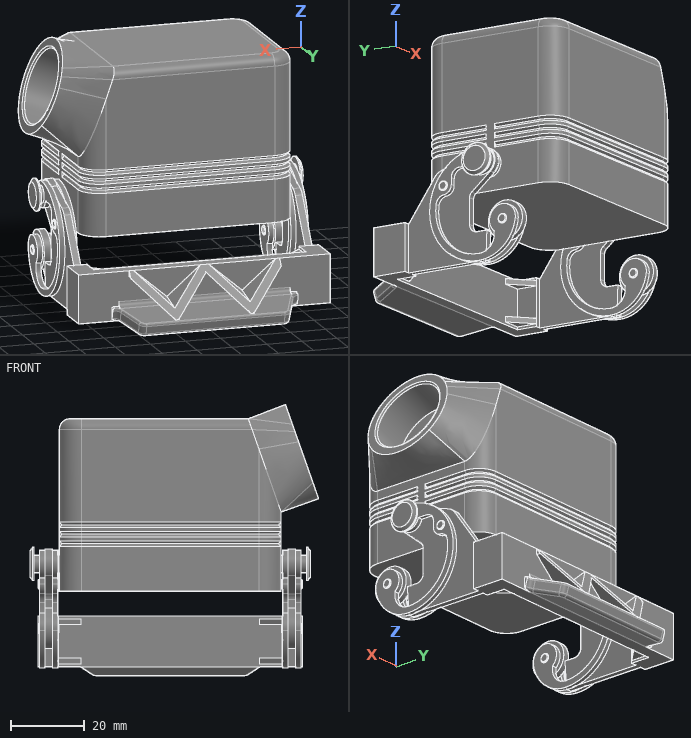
import cadquery as cq
import math


overall_length = 78.4

hood_length = 60.2
hood_width = 43.1
hood_height = 46.9
corner_radius = 6.0
top_radius = 3.0
wall_x = hood_length / 2

groove_levels = (12.9, 15.5, 18.0)
groove_half = 0.745
groove_gap = 2.75

entry_tilt = 19.4
entry_base_z = 34.3
entry_length = 10.8
entry_radius = 13.55
bore_radius = 10.65
bore_chamfer = 0.5

arm_x = 33.0
arm_thickness = 5.0
frame_thickness = 2.0

pivot_z = 7.45
pin_radius = 2.4
pin_embed = 0.8
plate_eye_radius = 3.8
frame_eye_radius = 4.1
head_radius = 4.55
head_face_radius = 3.5
head_outer_x = 38.1
head_thickness = 1.2
head_cone = 0.8

sweep_radius = 16.0
sweep_z = pivot_z + plate_eye_radius - sweep_radius
sweep_inner_radius = 14.0
hook_inner_radius = 4.8
roller_y = -7.45
roller_z = -10.0
roller_radius = 5.5
hook_eye_radius = 4.15
rivet_radius = 1.3
rivet_height = 0.3
rivet_chamfer = 0.2
boss_y = 11.6
boss_z = 1.95
boss_radius = 2.6
boss_fillet_rise = 1.8
window_top_z = 6.4

jaw_y = 4.1
jaw_bottom_z = -12.1
jaw_radius = 2.35
jaw_heel_radius = 1.9
jaw_slope = 40.0
toe_y = -1.2
toe_tip_y = -1.5
shoulder_y = 14.5
shoulder_z = 6.35
shoulder_radius = 3.9

bridge_half = 35.9
bridge_front_y = 23.7
bridge_back_y = 33.8
bridge_bottom_z = -20.45
bridge_top_z = -6.7
bar_front_y = 29.7
leg_inner_x = 30.25
gusset_size = bar_front_y - bridge_front_y
gusset_thickness = 1.6
gusset_inset = 0.8

tab_slope = 16.5
tab_length = 9.4
tab_thickness = 3.9
tab_base_half = 25.1
tab_end_half = 21.0
tab_corner_radius = 1.95
tab_edge_radius = 0.6
tab_lower_radius = 0.95
flare_height = 1.25

rib_slope = 54.0
trough_fall = 12.0
rib_half = 10.7
rib_wall = 1.2
rib_root_drop = 1.6
rib_peak_y = 43.1
trough_peak_y = 40.75


def disc(x, y, z, radius, thickness):
    """Disc centred on (x, y, z) with its axis along X."""
    return (
        cq.Workplane("YZ", origin=(x - thickness / 2, y, z)).circle(radius).extrude(thickness)
    )


def on_circle(y, z, radius, angle):
    a = math.radians(angle)
    return (y + radius * math.cos(a), z + radius * math.sin(a))


def hood_section():
    outline = cq.Sketch().rect(hood_length, hood_width).vertices().fillet(corner_radius)
    return cq.Workplane("XY").placeSketch(outline)


def make_waist():
    """Hood section widening at 45 degrees from the groove bottom to the outer wall."""
    waist = hood_section().extrude(-groove_half, taper=45)
    return waist.translate((0, 0, groove_half))


def make_groove():
    """V-shaped ring centred on Z = 0, interrupted at the middle of both end walls."""
    upper = hood_section().extrude(groove_half)
    upper = upper.cut(make_waist())
    ring = upper.union(upper.mirror("XY"))
    strip = cq.Workplane("XY").box(2 * hood_length, groove_gap, 4 * groove_half)
    return ring.cut(strip)


def make_hood():
    body = hood_section().extrude(hood_height)
    body = body.faces(">Z").edges().fillet(top_radius)
    for level in groove_levels:
        body = body.cut(make_groove().translate((0, 0, level)))

    tilt = math.radians(entry_tilt)
    axis = cq.Vector(math.cos(tilt), 0, math.sin(tilt))
    rim_reach = entry_length * math.cos(tilt) + entry_radius * math.sin(tilt)
    entry_base_x = overall_length - head_outer_x - rim_reach
    centre = cq.Vector(entry_base_x, 0, entry_base_z)
    base_plane = cq.Plane(origin=centre, xDir=(0, 1, 0), normal=axis)
    body = body.cut(cq.Workplane(base_plane).rect(2 * hood_width, 2 * hood_width).extrude(hood_length))

    outline = body.faces(cq.selectors.NearestToPointSelector(centre.toTuple())).wires().vals()[0]
    end_plane = cq.Plane(origin=centre + axis * entry_length, xDir=(0, 1, 0), normal=axis)
    corners = [base_plane.toLocalCoords(v.Center()) for v in outline.Vertices()]
    angles = sorted(math.atan2(p.y, p.x) for p in corners)
    arcs = []
    for start, stop in zip(angles, angles[1:] + [angles[0] + 2 * math.pi]):
        points = [
            end_plane.toWorldCoords((entry_radius * math.cos(a), entry_radius * math.sin(a)))
            for a in (start, (start + stop) / 2, stop)
        ]
        arcs.append(cq.Edge.makeThreePointArc(*points))
    rim = cq.Wire.assembleEdges(arcs)
    entry = cq.Workplane(cq.Solid.makeLoft([outline, rim], True))

    bore = cq.Workplane(end_plane).circle(bore_radius).extrude(-entry_length)
    mouth = cq.Workplane(
        cq.Solid.makeCone(
            bore_radius + bore_chamfer, bore_radius, bore_chamfer, end_plane.origin, axis * -1
        )
    )
    return body.union(entry).cut(bore).cut(mouth)


def make_side_plates():
    """Hook-shaped outline through the full arm thickness."""
    start_x = arm_x - arm_thickness / 2
    sweep_bottom = sweep_z - sweep_radius
    inner_bottom = sweep_z - sweep_inner_radius
    side_z = sweep_z + boss_fillet_rise
    window_side = math.sqrt(sweep_inner_radius**2 - boss_fillet_rise**2)
    plate = (
        cq.Workplane("YZ", origin=(start_x, 0, 0))
        .moveTo(0, sweep_z + sweep_radius)
        .threePointArc((sweep_radius, sweep_z), (0, sweep_bottom))
        .lineTo(0, inner_bottom)
        .threePointArc(on_circle(0, sweep_z, sweep_inner_radius, -45), (window_side, side_z))
        .tangentArcPoint((boss_y, boss_z - boss_radius), relative=False)
        .threePointArc(on_circle(boss_y, boss_z, boss_radius, 225), (boss_y - boss_radius, boss_z))
        .lineTo(boss_y - boss_radius, window_top_z - boss_radius)
        .tangentArcPoint((boss_y - 2 * boss_radius, window_top_z), relative=False)
        .lineTo(0, window_top_z)
        .close()
        .extrude(arm_thickness)
    )

    rise = roller_z - sweep_bottom
    outer_radius = (roller_y**2 + rise**2 - hook_eye_radius**2) / (2 * (rise - hook_eye_radius))
    outer_z = sweep_bottom + outer_radius
    touch_angle = math.degrees(math.atan2(roller_z - outer_z, roller_y)) % 360
    inner_z = inner_bottom + hook_inner_radius
    tip_angle = math.degrees(math.atan2(roller_z - inner_z, roller_y)) % 360
    hook = (
        cq.Workplane("YZ", origin=(start_x, 0, 0))
        .moveTo(0, sweep_bottom)
        .threePointArc(
            on_circle(0, outer_z, outer_radius, (touch_angle + 270) / 2),
            on_circle(0, outer_z, outer_radius, touch_angle),
        )
        .lineTo(roller_y, roller_z)
        .lineTo(*on_circle(0, inner_z, hook_inner_radius, tip_angle))
        .threePointArc(
            on_circle(0, inner_z, hook_inner_radius, (tip_angle + 270) / 2), (0, inner_bottom)
        )
        .close()
        .extrude(arm_thickness)
    )
    plate = plate.union(hook)
    plate = plate.union(disc(arm_x, 0, pivot_z, plate_eye_radius, arm_thickness))
    plate = plate.union(disc(arm_x, roller_y, roller_z, hook_eye_radius, arm_thickness))
    gap = cq.Workplane("XY").box(frame_thickness, 4 * sweep_radius, 4 * sweep_radius)
    return plate.cut(gap.translate((arm_x, 0, 0)))


def make_frame_plate():
    slope = math.radians(jaw_slope)
    tangent_y = -frame_eye_radius * math.sin(slope)
    tangent_z = pivot_z - frame_eye_radius * math.cos(slope)
    jaw_top_z = tangent_z - (jaw_y - tangent_y) * math.tan(slope)
    plate = (
        cq.Workplane("YZ", origin=(arm_x - frame_thickness / 2, 0, 0))
        .moveTo(bridge_front_y, bridge_bottom_z)
        .lineTo(toe_y, bridge_bottom_z)
        .lineTo(toe_tip_y, jaw_bottom_z)
        .lineTo(jaw_y, jaw_bottom_z)
        .lineTo(jaw_y, jaw_top_z)
        .lineTo(tangent_y, tangent_z)
        .lineTo(0, pivot_z + plate_eye_radius)
        .lineTo(shoulder_y, shoulder_z)
        .lineTo(bridge_front_y, bridge_top_z)
        .close()
        .extrude(frame_thickness)
    )

    def edge_at(y, z):
        return cq.selectors.NearestToPointSelector((arm_x, y, z))

    plate = plate.edges(edge_at(jaw_y, jaw_bottom_z)).fillet(jaw_radius)
    plate = plate.edges(edge_at(jaw_y, jaw_top_z)).fillet(jaw_heel_radius)
    plate = plate.edges(edge_at(shoulder_y, shoulder_z)).fillet(shoulder_radius)
    return plate.union(disc(arm_x, 0, pivot_z, frame_eye_radius, frame_thickness))


def make_arm():
    """Arm on the +X side with pivot pin, roller and rivets."""
    arm = make_side_plates().union(make_frame_plate())
    arm = arm.union(disc(arm_x, roller_y, roller_z, roller_radius, frame_thickness))
    for y, z in ((boss_y, boss_z), (roller_y, roller_z)):
        rivet = disc(arm_x, y, z, rivet_radius, arm_thickness + 2 * rivet_height)
        arm = arm.union(rivet.faces("<X or >X").chamfer(rivet_chamfer))

    pin_length = head_outer_x - wall_x + pin_embed
    pin = disc(head_outer_x - pin_length / 2, 0, pivot_z, pin_radius, pin_length)
    head = disc(head_outer_x - head_thickness / 2, 0, pivot_z, head_radius, head_thickness)
    head = head.faces(">X").chamfer(head_cone, head_radius - head_face_radius)
    return arm.union(pin).union(head)


def make_bridge():
    bridge = (
        cq.Workplane("XY", origin=(0, 0, bridge_bottom_z))
        .polyline(
            [
                (-bridge_half, bridge_back_y),
                (bridge_half, bridge_back_y),
                (bridge_half, bridge_front_y),
                (leg_inner_x, bridge_front_y),
                (leg_inner_x, bar_front_y),
                (-leg_inner_x, bar_front_y),
                (-leg_inner_x, bridge_front_y),
                (-bridge_half, bridge_front_y),
            ]
        )
        .close()
        .extrude(bridge_top_z - bridge_bottom_z)
    )
    lower = bridge_bottom_z + gusset_inset
    upper = bridge_top_z - gusset_inset - gusset_thickness
    for level in (lower, upper):
        for side in (-1, 1):
            gusset = (
                cq.Workplane("XY", origin=(0, 0, level))
                .moveTo(side * leg_inner_x, bar_front_y)
                .lineTo(side * (leg_inner_x - gusset_size), bar_front_y)
                .lineTo(side * leg_inner_x, bridge_front_y)
                .close()
                .extrude(gusset_thickness)
            )
            bridge = bridge.union(gusset)
    return bridge


def make_tab():
    """Tapered finger tab sloping down and away from the bridge."""
    slope = math.radians(tab_slope)
    plane = cq.Plane(
        origin=(0, bridge_back_y, bridge_bottom_z),
        xDir=(1, 0, 0),
        normal=(0, math.sin(slope), math.cos(slope)),
    )
    embed = tab_thickness * math.tan(slope)
    taper = (tab_base_half - tab_end_half) / tab_length
    flare_half = tab_base_half - taper * flare_height
    flare_spread = flare_height * math.tan((math.atan(taper) + math.pi / 2) / 2)
    tab = (
        cq.Workplane(plane)
        .moveTo(0, tab_length)
        .lineTo(tab_end_half, tab_length)
        .lineTo(flare_half, flare_height)
        .tangentArcPoint((flare_half + flare_spread, 0), relative=False)
        .lineTo(flare_half + flare_spread, -embed)
        .lineTo(0, -embed)
        .mirrorY()
        .extrude(tab_thickness)
    )
    for side in (-1, 1):
        corner = plane.toWorldCoords((side * tab_end_half, tab_length, tab_thickness / 2))
        tab = tab.edges(cq.selectors.NearestToPointSelector(corner.toTuple())).fillet(tab_corner_radius)
    upper_face = cq.selectors.DirectionMinMaxSelector(plane.zDir, True)
    lower_face = cq.selectors.DirectionMinMaxSelector(plane.zDir, False)
    tab = tab.faces(upper_face).edges("not <Y").fillet(tab_edge_radius)
    tab = tab.faces(lower_face).edges("not <Y").fillet(tab_lower_radius)

    top_z = bridge_bottom_z + tab_thickness / math.cos(slope)
    radius = flare_height * math.tan((math.pi / 2 + slope) / 2)
    centre = (bridge_back_y + radius, top_z + flare_height)
    tab_angle = 270 - tab_slope
    fillet_half = tab_base_half - tab_edge_radius
    root_fillet = (
        cq.Workplane("YZ", origin=(-fillet_half, 0, 0))
        .moveTo(bridge_back_y, top_z)
        .lineTo(bridge_back_y, centre[1])
        .threePointArc(
            on_circle(*centre, radius, (180 + tab_angle) / 2), on_circle(*centre, radius, tab_angle)
        )
        .close()
        .extrude(2 * fillet_half)
    )
    return tab.union(root_fillet)


def make_ribs():
    """Two V troughs falling away from the bridge, cut off by a steeper slope down to the tab."""
    slope_rate = math.tan(math.radians(rib_slope))
    fall_rate = math.tan(math.radians(trough_fall))
    reach = rib_peak_y - bridge_back_y
    direction = cq.Vector(0, reach, -reach * fall_rate)
    root_z = bridge_top_z - rib_root_drop
    outer_z = bridge_top_z - reach * (slope_rate - fall_rate)
    inner_z = bridge_top_z - (trough_peak_y - bridge_back_y) * (slope_rate - fall_rate)

    def bar(points):
        section = cq.Workplane("XZ", origin=(0, bridge_back_y, 0)).polyline(points).close().val()
        return cq.Workplane(cq.Solid.extrudeLinear(section, [], direction))

    ribs = cq.Workplane("XY")
    for middle in (-rib_half, rib_half):
        trough = bar(
            [
                (middle - rib_half, bridge_top_z),
                (middle - rib_half, root_z),
                (middle, outer_z),
                (middle + rib_half, root_z),
                (middle + rib_half, bridge_top_z),
            ]
        )
        half = rib_half - rib_wall
        hollow = bar(
            [(middle - half, bridge_top_z), (middle, inner_z), (middle + half, bridge_top_z)]
        )
        ribs = ribs.union(trough.cut(hollow))
    foot_z = bridge_top_z - reach * slope_rate
    under_slope = (
        cq.Workplane("YZ", origin=(-bridge_half, 0, 0))
        .moveTo(bridge_back_y, bridge_top_z)
        .lineTo(rib_peak_y, foot_z)
        .lineTo(bridge_back_y, foot_z)
        .close()
        .extrude(2 * bridge_half)
    )
    return ribs.intersect(under_slope)


clip = make_bridge().union(make_tab())
clip = clip.union(make_ribs())
arm = make_arm()
clip = clip.union(arm).union(arm.mirror("YZ"))
result = make_hood().union(clip)